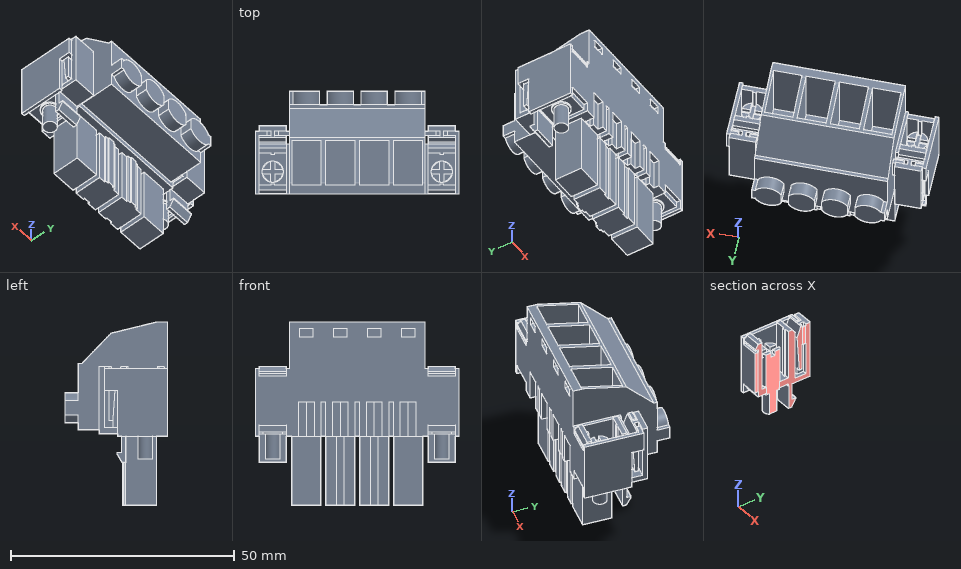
import cadquery as cq
import math


pole_count = 4
body_width = 30.45
pitch = body_width / pole_count
pole_centers = [(i - (pole_count - 1) / 2) * pitch for i in range(pole_count)]
pole_gaps = [(i - pole_count / 2) * pitch for i in range(1, pole_count)]
body_half_width = body_width / 2

body_top = 41.15
body_bottom = 15.5
body_rear = 20.05
rear_underside = 16.9
rear_step = 11.25
roof_front = 2.45
roof_break_y = 12.7
roof_break_z = 38.65
roof_rear = 19.25
roof_rear_z = 31.85

pocket_front = 2.1
pocket_rear = 12.0
pocket_floor = 25.6
pocket_divider = 0.95
pocket_end_wall = 0.65

window_width = 3.05
window_bottom = 37.8
window_height = 1.87
window_depth = 1.2

plug_gap = 1.05
plug_width = pitch - plug_gap
plug_front = 2.45
plug_rear = 9.4
slot_top = 23.23
slot_half_width = 1.8
shallow_slot_depth = 1.33
deep_slot_depth = 2.3
coding_width = 1.6
coding_groove_depth = 0.35
coding_base_height = 0.35
coding_rib_height = 0.7

dome_radius = 3.4
dome_half_width = 2.95
dome_rear = 23.1
dome_center_z = 21.9
dome_flat_half_height = math.sqrt(dome_radius**2 - dome_half_width**2)

flange_half_span = 22.85
flange_top = 30.72
flange_rear = 14.15
flange_outer_wall = 0.85
flange_inner_wall = 0.7
flange_front_wall = 0.95
flange_rear_wall = 1.0
flange_step = 25.75
rear_opening_width = 2.55
top_notch_bottom = 29.05
bottom_notch_top = 17.9
bay_inner = body_half_width + flange_inner_wall
bay_outer = flange_half_span - flange_outer_wall
bay_width = bay_outer - bay_inner
bay_center = (bay_inner + bay_outer) / 2
bay_rear = flange_rear - flange_rear_wall

clip_top = 31.2
clip_bottom = 16.05
clip_floor_bottom = 16.45
clip_floor_top = 18.3
hook_crest = 0.9
hook_front = 0.15
hook_shoulder = 30.05
hook_bottom = 29.6
seat_front = 2.0
seat_rear = 9.25
seat_wall_rear = rear_step
seat_wall_crest = 10.4
key_width = 0.82
key_height = 0.3
plate_thickness = 1.25
plate_rear = flange_rear + plate_thickness
bar_top = 17.4
tongue_bottom = 19.0
tongue_tip = 12.3
tongue_crest = 12.7
tongue_nose_y = 11.65
tongue_nose_z = 28.35
tail_front = 9.35
tail_rear = 10.4
tail_bottom = 9.65
barb_tip = 11.45
barb_top = 11.9
barb_edge = 11.6
barb_foot = 10.3

screw_y = 5.05
head_radius = 2.4
head_top = 27.3
collar_radius = 2.2
shank_radius = 1.65
shank_bottom = 10.4
drive_width = 1.0
drive_depth = 1.15


def box(x0, x1, y0, y1, z0, z1):
    """Solid box between two limits along each axis."""
    return cq.Workplane("XY").box(x1 - x0, y1 - y0, z1 - z0, centered=False).translate((x0, y0, z0))


def centered_box(x, width, y0, y1, z0, z1):
    """Solid box that is centered on x."""
    return box(x - width / 2, x + width / 2, y0, y1, z0, z1)


def profile_bar(points, x, width):
    """Bar along X, centered on x, from a closed outline of (Y, Z) points."""
    return cq.Workplane("YZ").polyline(points).close().extrude(width / 2, both=True).translate((x, 0, 0))


def upright_cylinder(x, radius, z0, z1):
    """Vertical cylinder on the screw axis of a flange."""
    return cq.Workplane("XY").center(x, screw_y).circle(radius).extrude(z1 - z0).translate((0, 0, z0))


def make_body_core():
    """Central block with its sloped roof."""
    outline = [
        (0, body_bottom),
        (rear_step, body_bottom),
        (rear_step, rear_underside),
        (body_rear, rear_underside),
        (body_rear, roof_rear_z),
        (roof_rear, roof_rear_z),
        (roof_break_y, roof_break_z),
        (roof_front, body_top),
        (0, body_top),
    ]
    return profile_bar(outline, 0, body_width)


def make_wire_pockets():
    """Cutters for the wire entries, separated by thin dividers."""
    inner_half_width = body_half_width - pocket_end_wall
    pockets = box(-inner_half_width, inner_half_width, pocket_front, pocket_rear, pocket_floor, body_top)
    for x in pole_gaps:
        divider = centered_box(x, pocket_divider, pocket_front, pocket_rear, pocket_floor, body_top)
        pockets = pockets.cut(divider)
    return pockets


def make_front_cutouts():
    """Cutters for the windows and the slots in the front face."""
    cutouts = cq.Workplane("XY")
    for x in pole_centers:
        window = centered_box(x, window_width, 0, window_depth, window_bottom, window_bottom + window_height)
        deep_slot = box(x - slot_half_width, x, 0, deep_slot_depth, body_bottom, slot_top)
        shallow_slot = box(x, x + slot_half_width, 0, shallow_slot_depth, body_bottom, slot_top)
        cutouts = cutouts.add(window).add(deep_slot).add(shallow_slot)
    for x in pole_gaps:
        cutouts = cutouts.add(centered_box(x, plug_gap, 0, plug_front, body_bottom, slot_top))
    return cutouts.combine()


def make_plug(x, coded):
    """One plug sleeve; a coded one has a front groove and a stepped rear rib."""
    plug = centered_box(x, plug_width, plug_front, plug_rear, 0, body_bottom)
    if coded:
        groove_rear = plug_front + coding_groove_depth
        base_rear = plug_rear + coding_base_height
        rib_rear = plug_rear + coding_rib_height
        plug = plug.cut(centered_box(x, coding_width, plug_front, groove_rear, 0, body_bottom))
        plug = plug.union(centered_box(x, 2 * coding_width, plug_rear, base_rear, 0, body_bottom))
        plug = plug.union(centered_box(x, coding_width, plug_rear, rib_rear, 0, body_bottom))
    return plug


def make_dome(x):
    """Rear screw dome: a cylinder along Y with flattened sides."""
    length = dome_rear - body_rear
    cylinder = cq.Workplane("XZ").center(x, dome_center_z).circle(dome_radius).extrude(-length)
    cylinder = cylinder.translate((0, body_rear, 0))
    flats = centered_box(
        x,
        2 * dome_half_width,
        body_rear,
        dome_rear,
        dome_center_z - dome_radius,
        dome_center_z + dome_radius,
    )
    return cylinder.intersect(flats)


def make_dome_end_block(side):
    """Block that joins an end dome to the end face of the body."""
    inner = pole_centers[-1] + dome_half_width
    return centered_box(
        side * (inner + body_half_width) / 2,
        body_half_width - inner,
        body_rear,
        dome_rear,
        dome_center_z - dome_flat_half_height,
        dome_center_z + dome_flat_half_height,
    )


def make_flange(side):
    """Open bay for a latch clip, with its front, rear and side walls."""
    x = side * bay_center
    outer_x = side * (flange_half_span + bay_outer) / 2
    inner_x = side * (body_half_width + bay_inner) / 2
    span = flange_half_span - body_half_width
    span_x = side * (flange_half_span + body_half_width) / 2

    outer_wall = centered_box(outer_x, flange_outer_wall, 0, flange_rear, body_bottom, flange_top)
    outer_wall = outer_wall.cut(
        centered_box(outer_x, flange_outer_wall, rear_step, flange_rear, body_bottom, flange_step)
    )
    inner_wall = centered_box(inner_x, flange_inner_wall, 0, rear_step, body_bottom, flange_top)
    front_wall = centered_box(span_x, span, 0, flange_front_wall, body_bottom, flange_top)
    rear_wall = centered_box(span_x, span, bay_rear, flange_rear, flange_step, flange_top)

    top_notch = centered_box(x, bay_width, 0, flange_front_wall, top_notch_bottom, flange_top)
    bottom_notch = centered_box(x, bay_width, 0, flange_front_wall, body_bottom, bottom_notch_top)
    front_wall = front_wall.cut(top_notch).cut(bottom_notch)
    rear_wall = rear_wall.cut(
        centered_box(x, rear_opening_width, bay_rear, flange_rear, flange_step, flange_top)
    )
    return outer_wall.union(inner_wall).union(front_wall).union(rear_wall)


def make_housing():
    """Body, plugs, domes and flanges, molded as one piece."""
    housing = make_body_core().cut(make_wire_pockets()).cut(make_front_cutouts())
    for i, x in enumerate(pole_centers):
        is_end_pole = i in (0, pole_count - 1)
        housing = housing.union(make_plug(x, coded=not is_end_pole))
        housing = housing.union(make_dome(x))
    for side in (-1, 1):
        housing = housing.union(make_dome_end_block(side))
        housing = housing.union(make_flange(side))
    return housing


def make_clip(side):
    """Latch clip: screw seat with front hook, snap tail, rear release plate and tongue."""
    x = side * bay_center
    seat_outline = [
        (seat_front, clip_top),
        (hook_crest, clip_top),
        (hook_front, hook_shoulder),
        (hook_front, hook_bottom),
        (flange_front_wall, hook_bottom),
        (flange_front_wall, clip_floor_bottom),
        (seat_rear, clip_floor_bottom),
        (seat_rear, clip_bottom),
        (plate_rear, clip_bottom),
        (plate_rear, clip_top),
        (flange_rear, clip_top),
        (flange_rear, bar_top),
        (seat_wall_rear, bar_top),
        (seat_wall_rear, hook_shoulder),
        (seat_wall_crest, clip_top),
        (seat_rear, clip_top),
        (seat_rear, clip_floor_top),
        (seat_front, clip_floor_top),
    ]
    tongue_outline = [
        (bay_rear, clip_top),
        (tongue_crest, clip_top),
        (tongue_nose_y, tongue_nose_z),
        (tongue_tip, tongue_bottom),
        (bay_rear, tongue_bottom),
    ]
    tail_outline = [
        (tail_front, clip_bottom),
        (tail_rear, clip_bottom),
        (tail_rear, barb_top),
        (barb_tip, barb_top),
        (barb_tip, barb_edge),
        (barb_foot, tail_bottom),
        (tail_front, tail_bottom),
    ]
    clip = profile_bar(seat_outline, x, bay_width)
    clip = clip.union(profile_bar(tongue_outline, x, bay_width))
    clip = clip.union(profile_bar(tail_outline, x, bay_width))
    clip = clip.union(centered_box(x, key_width, bay_rear, flange_rear, bar_top, clip_top))
    clip = clip.union(centered_box(x, key_width, tongue_tip, bay_rear, bar_top, tongue_bottom))
    for y in (seat_front, seat_rear - key_height):
        clip = clip.union(centered_box(x, key_width, y, y + key_height, clip_floor_top, clip_top))
    return clip.cut(upright_cylinder(x, collar_radius, clip_floor_bottom, clip_floor_top))


def make_screw(side):
    """Flange screw with a cross-recessed head, a collar and a shank."""
    x = side * bay_center
    head = upright_cylinder(x, head_radius, clip_floor_top, head_top)
    drive_bottom = head_top - drive_depth
    arms = ((2 * head_radius, drive_width), (drive_width, 2 * head_radius))
    for x_size, y_size in arms:
        slot = cq.Workplane("XY").box(x_size, y_size, drive_depth, centered=(True, True, False))
        head = head.cut(slot.translate((x, screw_y, drive_bottom)))
    collar = upright_cylinder(x, collar_radius, clip_bottom, clip_floor_top)
    shank = upright_cylinder(x, shank_radius, shank_bottom, clip_bottom)
    return head.union(collar).union(shank)


housing = make_housing()
clips = [make_clip(side).val() for side in (-1, 1)]
screws = [make_screw(side).val() for side in (-1, 1)]

result = cq.Compound.makeCompound([housing.val(), *clips, *screws])